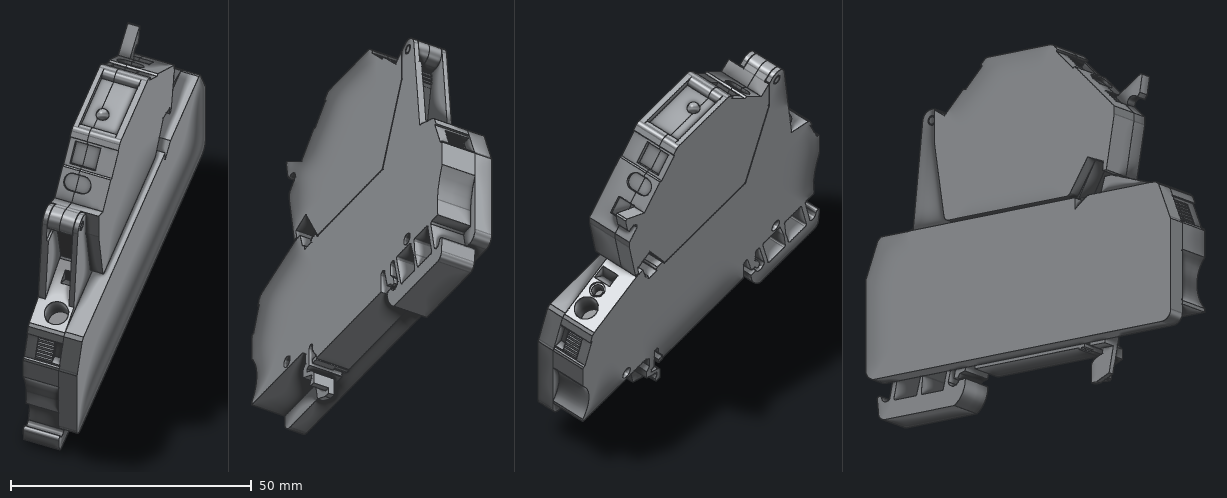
import cadquery as cq
import math

HALF_LENGTH = 39.5
BASE_WIDTH = 7.9
TOTAL_WIDTH = 11.9
PLUG_WIDTH = 10.7
PLUG_SPLIT_X = 3.8
PLUG_TOP_Z = 72.9
HANDLE_THICKNESS = 2.6
FOOT_STEP_X = 3.55
FOOT_WIDTH = 4.9
ARM_THICKNESS = 1.1

CORNER_Z = 29.65
SHELF_Y, SHELF_Z = 39.3, 30.1
SHOULDER_Y, SHOULDER_Z = 36.4, 37.6
ROOF_Y, ROOF_Z = 35.7, 38.2
ROOF_END_Y, ROOF_END_Z = 21.35, 43.0
COVER_TOP_Y, COVER_TOP_Z = 35.5, 38.25
COVER_BOTTOM_Z = 7.75
COVER_CORNER_R = 2.3
UNDERSIDE_Z = 12.0
KEEL_Z = 7.0
FOOT_FLOOR_Z = 3.8
FOOT_WINDOW_R = 0.4
SEAT_Z = 38.25

WELL_X, WELL_Y, WELL_R, WELL_DEPTH = 4.8, 32.3, 2.5, 6.9
TEST_X, TEST_Y, TEST_R, TEST_DEPTH = 5.4, 28.0, 1.3, 3.4
TEST_RIM_R, TEST_RIM_DEPTH = 1.65, 0.4
LIP_X0, LIP_X1, LIP_Y, LIP_RUN, LIP_DROP = 3.55, 7.5, 26.2, 2.85, 2.4

LABEL_TOP_Z = 36.0
LABEL_DEPTH = 0.51
MARKER_X0, MARKER_Z0, MARKER_Z1, MARKER_DEPTH = 2.4, 30.4, 35.25, 2.4
MARKER_RIB_X1, MARKER_RIB_DEPTH, MARKER_RIB_COUNT = 6.0, 1.8, 6

RIVET_Y, RIVET_Z, RIVET_R = 24.9, 13.9, 1.3

HINGE_Y, HINGE_Z, HINGE_R = -25.3, 62.6, 2.45
LINER_THICKNESS, LINER_TOP_Z = 0.5, 58.1
WEB_TOP_Z, WEB_RIB_Z = 60.1, 57.2
WEB_THICKNESS, WEB_RIB_DEPTH, WEB_RIB_COUNT = 0.4, 0.3, 3
PIN_R, PIN_HOLE_R = 0.8, 1.0
PLUG_GAP = 0.2
KNUCKLE_GAP = 0.1
ARM_ROOT_Y = -30.2

PLUG_NOSE_Y, PLUG_NOSE_Z = -22.6, 63.8
PLUG_KNEE_Z = 56.5
PLUG_BOTTOM_Z = 38.4
PLUG_FOOT_Y = -14.6
ARM_INNER_Y = PLUG_NOSE_Y - PLUG_GAP
OVERHANG_Z = 39.4
OVERHANG_R = 1.2
OVERHANG_FOOT_Y = -20.0
TRAY_X0, TRAY_X1, TRAY_Z, TRAY_HALF = 1.1, 9.3, 71.5, 6.4
CROWN_R = 1.4
PLUG_MID_Y = -0.7
UPPER_SLOPE = 80.8
LOWER_SLOPE = 81.5

RECESS_X1 = 6.9
WINDOW_X0, WINDOW_NEAR, WINDOW_FAR, WINDOW_DEPTH = 1.3, 10.0, 13.5, 1.2
SLOT_X0, SLOT_NEAR, SLOT_FAR, SLOT_DEPTH, SLOT_END_R = 1.0, 15.1, 17.7, 0.7, 1.7
NOTCH_NEAR, NOTCH_FAR, NOTCH_DEPTH = 19.6, 22.4, 0.7

LAMP_X, LAMP_Y, LAMP_R = 4.5, -3.1, 1.35
LAMP_BOTTOM_Z, LAMP_RIM_Z = 68.0, 71.5

CUT_MARGIN = 0.8
ROOF_ANGLE = math.atan2(ROOF_END_Z - ROOF_Z, ROOF_Y - ROOF_END_Y)


def slab(outline, x0, x1):
    """Extrude a closed (Y, Z) outline sketched on the YZ plane from x0 to x1."""
    return outline.close().extrude(x1 - x0).translate((x0, 0, 0))


def polygon(points, x0, x1):
    return slab(cq.Workplane("YZ").polyline(points), x0, x1)


def box(x0, x1, y0, y1, z0, z1):
    return polygon([(y0, z0), (y1, z0), (y1, z1), (y0, z1)], x0, x1)


def rod(y, z, radius, x0, x1):
    return cq.Workplane("YZ").center(y, z).circle(radius).extrude(x1 - x0).translate((x0, 0, 0))


def mirrored_points(points, side):
    return [(side * y, z) for y, z in points]


def roof_z(y):
    """Height of the shallow roof slope at a distance y from the middle."""
    return ROOF_Z + (ROOF_Y - abs(y)) * math.tan(ROOF_ANGLE)


def slope_y(z):
    """Distance of the steep end slope from the middle at height z."""
    fall = (z - SHELF_Z) / (SHOULDER_Z - SHELF_Z)
    return SHELF_Y - (SHELF_Y - SHOULDER_Y) * fall


def base_blank():
    outline = (
        cq.Workplane("YZ")
        .moveTo(-HALF_LENGTH, CORNER_Z)
        .lineTo(-SHELF_Y, SHELF_Z)
        .lineTo(-SHOULDER_Y, SHOULDER_Z)
        .lineTo(-ROOF_Y, ROOF_Z)
        .lineTo(-ROOF_END_Y, ROOF_END_Z)
        .lineTo(-17.2, ROOF_END_Z)
        .lineTo(PLUG_FOOT_Y - PLUG_GAP, SEAT_Z)
        .lineTo(12.3, SEAT_Z)
        .lineTo(13.0, 39.3)
        .lineTo(14.6, 39.3)
        .lineTo(15.0, 38.9)
        .lineTo(14.8, SEAT_Z)
        .lineTo(17.55, SEAT_Z)
        .lineTo(17.7, 39.3)
        .lineTo(18.5, 39.8)
        .lineTo(19.45, ROOF_END_Z)
        .lineTo(ROOF_END_Y, ROOF_END_Z)
        .lineTo(ROOF_Y, ROOF_Z)
        .lineTo(SHOULDER_Y, SHOULDER_Z)
        .lineTo(SHELF_Y, SHELF_Z)
        .lineTo(HALF_LENGTH, CORNER_Z)
        .lineTo(HALF_LENGTH, 23.9)
        .threePointArc((37.5, 18.35), (HALF_LENGTH, 12.8))
        .lineTo(HALF_LENGTH, UNDERSIDE_Z)
        .lineTo(21.3, UNDERSIDE_Z)
        .threePointArc((20.6, 11.7), (20.2, 11.1))
        .lineTo(18.35, 1.4)
        .lineTo(15.1, 0)
        .lineTo(13.75, 0)
        .lineTo(13.75, 4.1)
        .lineTo(14.5, 5.0)
        .lineTo(16.6, 5.9)
        .lineTo(16.6, 6.65)
        .lineTo(15.65, 7.1)
        .lineTo(15.65, 11.4)
        .threePointArc((15.0, UNDERSIDE_Z), (14.3, 11.4))
        .lineTo(14.3, 10.0)
        .lineTo(13.0, 8.1)
        .lineTo(13.0, COVER_BOTTOM_Z)
        .lineTo(14.2, COVER_BOTTOM_Z)
        .lineTo(14.2, 6.7)
        .lineTo(12.7, 6.7)
        .lineTo(12.7, KEEL_Z)
        .lineTo(-14.15, KEEL_Z)
        .lineTo(-14.15, 11.4)
        .threePointArc((-14.8, UNDERSIDE_Z), (-15.6, 11.55))
        .lineTo(-16.75, 7.0)
        .lineTo(-18.0, 6.7)
        .lineTo(-18.65, 5.85)
        .lineTo(-19.6, 5.85)
        .lineTo(-19.3, 7.5)
        .lineTo(-18.1, 8.85)
        .lineTo(-18.1, 11.4)
        .threePointArc((-18.8, UNDERSIDE_Z), (-19.6, 11.4))
        .lineTo(-21.1, 5.4)
        .threePointArc((-19.85, 4.3), (-18.35, 5.4))
        .lineTo(-16.7, 5.4)
        .threePointArc((-17.5, 2.2), (-19.5, 0))
        .lineTo(-37.7, 0)
        .threePointArc((-38.7, 0.5), (-39.2, 1.7))
        .lineTo(-HALF_LENGTH, 4.75)
        .threePointArc((-38.9, 5.3), (-38.3, 4.75))
        .threePointArc((-37.2, FOOT_FLOOR_Z), (-36.3, 4.35))
        .lineTo(-34.8, 11.55)
        .lineTo(-35.1, UNDERSIDE_Z)
        .lineTo(-37.7, UNDERSIDE_Z)
        .lineTo(-37.55, 16.1)
        .threePointArc((-38.2, 20.0), (-HALF_LENGTH, 23.9))
    )
    return slab(outline, 0, BASE_WIDTH)


def foot_windows():
    """Two leaning windows between the ribs of the fixed foot."""
    rear = [
        (-20.5, UNDERSIDE_Z), (-26.3, UNDERSIDE_Z), (-27.7, 7.9),
        (-28.15, FOOT_FLOOR_Z), (-22.45, FOOT_FLOOR_Z),
    ]
    front = [
        (-27.8, UNDERSIDE_Z), (-33.4, UNDERSIDE_Z), (-35.25, FOOT_FLOOR_Z),
        (-29.3, FOOT_FLOOR_Z), (-28.2, 7.9),
    ]
    return [polygon(points, 0, BASE_WIDTH).edges("|X").fillet(FOOT_WINDOW_R) for points in (rear, front)]


def foot_relief():
    """Thins the latch foot: removes its outer side up to FOOT_STEP_X."""
    points = [
        (22.1, UNDERSIDE_Z), (18.35, UNDERSIDE_Z), (17.2, 11.0), (17.2, 8.5), (18.2, 7.6),
        (18.2, 5.45), (14.8, 4.0), (14.8, 3.25), (15.3, 2.3), (15.3, 1.65), (14.95, 1.35),
        (13.4, 1.35), (13.4, -0.8), (22.1, -0.8),
    ]
    return polygon(points, 0, FOOT_STEP_X)


def foot_trim():
    """Ends the hook of the latch foot short of the cover."""
    return box(FOOT_WIDTH, BASE_WIDTH, 13.4, 22.1, 0, KEEL_Z)


def label_step(side):
    points = [
        (slope_y(SHELF_Z) - LABEL_DEPTH, SHELF_Z),
        (slope_y(LABEL_TOP_Z) - LABEL_DEPTH, LABEL_TOP_Z),
        (HALF_LENGTH, LABEL_TOP_Z),
        (HALF_LENGTH, SHELF_Z),
    ]
    return polygon(mirrored_points(points, side), 0, BASE_WIDTH)


def sloped_block(z0, z1, depth0, depth1, x0, x1, side):
    """A block that follows the steep end slope between two depths and two heights."""
    points = [
        (slope_y(z0) - depth0, z0),
        (slope_y(z1) - depth0, z1),
        (slope_y(z1) - depth1, z1),
        (slope_y(z0) - depth1, z0),
    ]
    return polygon(mirrored_points(points, side), x0, x1)


def marker_pocket(side):
    pocket = sloped_block(MARKER_Z0, MARKER_Z1, 0, MARKER_DEPTH, MARKER_X0, BASE_WIDTH, side)
    pitch = (MARKER_Z1 - MARKER_Z0) / MARKER_RIB_COUNT
    for i in range(MARKER_RIB_COUNT):
        z = MARKER_Z0 + i * pitch
        rib = sloped_block(
            z, z + pitch / 2, MARKER_DEPTH - MARKER_RIB_DEPTH, MARKER_DEPTH,
            MARKER_X0, MARKER_RIB_X1, side,
        )
        pocket = pocket.cut(rib)
    return pocket


def roof_bore(x, y, radius, depth):
    """A bore perpendicular to the roof slope, starting just above it."""
    side = math.copysign(1, y)
    across = side * math.sin(ROOF_ANGLE)
    up = math.cos(ROOF_ANGLE)
    top = cq.Vector(x, y + across * CUT_MARGIN, roof_z(y) + up * CUT_MARGIN)
    bore = cq.Solid.makeCylinder(radius, depth + CUT_MARGIN, top, cq.Vector(0, -across, -up))
    return cq.Workplane(obj=bore)


def roof_lip(side):
    """A wedge pocket whose floor falls toward the middle."""
    inner = LIP_Y - LIP_RUN
    points = [
        (LIP_Y, roof_z(LIP_Y)),
        (inner, roof_z(LIP_Y) - LIP_DROP),
        (inner, roof_z(inner) + CUT_MARGIN),
        (LIP_Y, roof_z(LIP_Y) + CUT_MARGIN),
    ]
    return polygon(mirrored_points(points, side), LIP_X0, LIP_X1)


def arm_plate(x0, x1):
    """A plate rising from the roof beside the plug, rounded about the hinge axis."""
    outline = (
        cq.Workplane("YZ")
        .moveTo(PLUG_FOOT_Y - PLUG_GAP, SEAT_Z)
        .lineTo(ARM_INNER_Y, PLUG_KNEE_Z)
        .lineTo(ARM_INNER_Y, HINGE_Z + 1.3)
        .lineTo(HINGE_Y + 1.4, HINGE_Z + 2.0)
        .threePointArc((HINGE_Y, HINGE_Z + HINGE_R), (HINGE_Y - HINGE_R, HINGE_Z + 0.3))
        .lineTo(ARM_ROOT_Y, roof_z(ARM_ROOT_Y))
        .lineTo(ARM_ROOT_Y, SEAT_Z)
    )
    return slab(outline, x0, x1)


def hinge_arms():
    """Two bored arms; the left one is thickened below the knuckle."""
    right_x = BASE_WIDTH - ARM_THICKNESS
    arms = arm_plate(0, ARM_THICKNESS).union(arm_plate(right_x, BASE_WIDTH))
    arms = arms.cut(rod(HINGE_Y, HINGE_Z, PIN_HOLE_R, 0, BASE_WIDTH))
    liner_x1 = ARM_THICKNESS + LINER_THICKNESS
    liner = arm_plate(ARM_THICKNESS, liner_x1).intersect(
        box(ARM_THICKNESS, liner_x1, -HALF_LENGTH, 0, 0, LINER_TOP_Z)
    )
    return arms.union(liner)


def arm_web():
    """The wall that joins the two arms in front of the plug, ribbed below the knuckle."""
    x0 = ARM_THICKNESS
    x1 = BASE_WIDTH - ARM_THICKNESS
    front_y = ARM_INNER_Y - WEB_THICKNESS
    web = polygon(
        [
            (PLUG_FOOT_Y - PLUG_GAP, SEAT_Z), (ARM_INNER_Y, PLUG_KNEE_Z), (ARM_INNER_Y, WEB_TOP_Z),
            (front_y, WEB_TOP_Z), (front_y, WEB_RIB_Z), (OVERHANG_FOOT_Y, OVERHANG_Z),
        ],
        x0, x1,
    )
    pitch = (WEB_TOP_Z - WEB_RIB_Z) / WEB_RIB_COUNT
    for i in range(WEB_RIB_COUNT):
        z = WEB_RIB_Z + i * pitch
        web = web.union(box(x0, x1, front_y - WEB_RIB_DEPTH, ARM_INNER_Y, z, z + pitch / 2))
    return web


def make_base():
    base = base_blank()
    for window in foot_windows():
        base = base.cut(window)
    base = base.cut(foot_relief()).cut(foot_trim())
    for side in (-1, 1):
        base = base.cut(label_step(side))
        base = base.cut(marker_pocket(side))
        base = base.cut(roof_bore(WELL_X, side * WELL_Y, WELL_R, WELL_DEPTH))
        base = base.cut(roof_lip(side))
        base = base.cut(rod(side * RIVET_Y, RIVET_Z, RIVET_R, 0, BASE_WIDTH))
    base = base.cut(roof_bore(TEST_X, TEST_Y, TEST_R, TEST_DEPTH))
    base = base.cut(roof_bore(TEST_X, TEST_Y, TEST_RIM_R, TEST_RIM_DEPTH))
    return base.union(hinge_arms()).union(arm_web())


def make_cover():
    """A flat plate with the same sloped ends as the base and a notch in its top edge."""
    points = [
        (-HALF_LENGTH, CORNER_Z), (-SHELF_Y, SHELF_Z), (-SHOULDER_Y, SHOULDER_Z),
        (-COVER_TOP_Y, COVER_TOP_Z),
        (14.7, COVER_TOP_Z), (14.7, 35.8), (18.0, COVER_TOP_Z),
        (COVER_TOP_Y, COVER_TOP_Z), (SHOULDER_Y, SHOULDER_Z),
        (SHELF_Y, SHELF_Z), (HALF_LENGTH, CORNER_Z),
        (HALF_LENGTH, COVER_BOTTOM_Z), (-HALF_LENGTH, COVER_BOTTOM_Z),
    ]
    plate = polygon(points, BASE_WIDTH, TOTAL_WIDTH)
    return plate.edges("|X and <Z").fillet(COVER_CORNER_R)


def plug_section(foot_y, bottom_z, x0, x1):
    """The plug body from x0 to x1, with its bottom face at bottom_z ending at foot_y."""
    rear_crown = [
        (LOWER_SLOPE - PLUG_TOP_Z, PLUG_TOP_Z), (LOWER_SLOPE - 71.55, 71.55), (UPPER_SLOPE - 71.15, 71.15),
        (UPPER_SLOPE - 66.9, 66.9), (LOWER_SLOPE - 67.0, 67.0),
    ]
    rear = [(PLUG_MID_Y + s, z) for s, z in rear_crown]
    front = [(PLUG_MID_Y - s, z) for s, z in reversed(rear_crown)]
    points = rear + [
        (23.95, LOWER_SLOPE + PLUG_MID_Y - 23.95), (23.95, 55.1), (21.9, 43.4), (20.95, 43.4),
        (21.1, 45.4), (17.1, 46.95), (12.2, bottom_z), (foot_y, bottom_z),
        (PLUG_NOSE_Y, PLUG_KNEE_Z), (PLUG_NOSE_Y, PLUG_NOSE_Z), (-20.1, 62.1),
    ] + front
    return polygon(points, x0, x1).edges("|X and >Z").fillet(CROWN_R)


def plug_body():
    """The full plug section within the base's thickness, and a shallower one beyond it."""
    body = plug_section(PLUG_FOOT_Y, PLUG_BOTTOM_Z, 0, BASE_WIDTH)
    overhang = plug_section(OVERHANG_FOOT_Y, OVERHANG_Z, BASE_WIDTH, PLUG_WIDTH)
    return body.union(overhang.edges("|X and <Z").fillet(OVERHANG_R))


def handle():
    outline = (
        cq.Workplane("YZ")
        .moveTo(17.4, 60.9)
        .lineTo(19.0, 61.8)
        .lineTo(24.8, 65.5)
        .lineTo(25.2, 65.3)
        .lineTo(24.6, 61.5)
        .lineTo(23.95, 60.55)
        .threePointArc((22.2, 60.95), (21.4, 59.4))
    )
    return slab(outline, 0, HANDLE_THICKNESS)


def knuckle():
    """The hinge barrel between the arms, with a pivot pin on each side."""
    x0 = ARM_THICKNESS + KNUCKLE_GAP
    x1 = BASE_WIDTH - x0
    web_points = [
        (PLUG_NOSE_Y, PLUG_NOSE_Z), (HINGE_Y + 1.4, HINGE_Z + 2.0), (HINGE_Y, HINGE_Z),
        (HINGE_Y, HINGE_Z - HINGE_R), (PLUG_NOSE_Y, HINGE_Z - HINGE_R),
    ]
    barrel = rod(HINGE_Y, HINGE_Z, HINGE_R, x0, x1)
    pin = rod(HINGE_Y, HINGE_Z, PIN_R, 0, BASE_WIDTH)
    return barrel.union(polygon(web_points, x0, x1)).union(pin)


def crown_tray():
    """The tray in the plug's crown; its two ends roll over into the crown."""
    end = TRAY_HALF + CROWN_R
    depth = PLUG_TOP_Z - TRAY_Z
    bend = CROWN_R * math.sqrt(0.5)
    outline = (
        cq.Workplane("YZ")
        .moveTo(-end, PLUG_TOP_Z)
        .threePointArc((-end + bend, PLUG_TOP_Z - depth + bend), (-TRAY_HALF, TRAY_Z))
        .lineTo(TRAY_HALF, TRAY_Z)
        .threePointArc((end - bend, PLUG_TOP_Z - depth + bend), (end, PLUG_TOP_Z))
    )
    return slab(outline, TRAY_X0, TRAY_X1).translate((0, PLUG_MID_Y, 0))


def slope_recess(side, near, far, x0, depth, slope, end_radius=0):
    """A recess in a 45 degree slope between two distances from the plug's middle."""
    length = (far - near) * math.sqrt(2)
    middle = (near + far) / 2
    cutter = cq.Workplane("XY").box(RECESS_X1 - x0, length, 2 * depth)
    if end_radius:
        cutter = cutter.edges("|Z").fillet(end_radius)
    return cutter.rotate((0, 0, 0), (1, 0, 0), -45 * side).translate(
        ((x0 + RECESS_X1) / 2, PLUG_MID_Y + side * middle, slope - middle)
    )


def lamp_bore():
    return cq.Workplane("XY", origin=(LAMP_X, LAMP_Y, LAMP_BOTTOM_Z)).circle(LAMP_R).extrude(
        PLUG_TOP_Z - LAMP_BOTTOM_Z
    )


def whole_plug():
    plug = plug_body().union(handle()).union(knuckle())
    plug = plug.cut(crown_tray()).cut(lamp_bore())
    for side in (-1, 1):
        plug = plug.cut(slope_recess(side, WINDOW_NEAR, WINDOW_FAR, WINDOW_X0, WINDOW_DEPTH, UPPER_SLOPE))
        slot = slope_recess(side, SLOT_NEAR, SLOT_FAR, SLOT_X0, SLOT_DEPTH, LOWER_SLOPE, SLOT_END_R)
        plug = plug.cut(slot)
    return plug.cut(slope_recess(1, NOTCH_NEAR, NOTCH_FAR, HANDLE_THICKNESS, NOTCH_DEPTH, LOWER_SLOPE))


def plug_half(plug, x0, x1):
    """The part of the plug on one side of its parting plane."""
    return plug.intersect(box(x0, x1, -HALF_LENGTH, HALF_LENGTH, 0, PLUG_TOP_Z))


def make_lamp():
    dome_top = LAMP_RIM_Z + LAMP_R
    half_section = (
        cq.Workplane("XZ")
        .moveTo(0, LAMP_BOTTOM_Z)
        .lineTo(LAMP_R, LAMP_BOTTOM_Z)
        .lineTo(LAMP_R, LAMP_RIM_Z)
        .threePointArc((LAMP_R * math.sqrt(0.5), LAMP_RIM_Z + LAMP_R * math.sqrt(0.5)), (0, dome_top))
        .close()
    )
    lamp = half_section.revolve(360, (0, 0, 0), (0, 1, 0))
    return lamp.translate((LAMP_X, LAMP_Y, 0))


base = make_base()
cover = make_cover()
plug = whole_plug()
plug_left = plug_half(plug, 0, PLUG_SPLIT_X)
plug_right = plug_half(plug, PLUG_SPLIT_X, PLUG_WIDTH)
lamp = make_lamp()

result = cq.Compound.makeCompound(
    [
        *base.solids().vals(),
        *cover.solids().vals(),
        *plug_left.solids().vals(),
        *plug_right.solids().vals(),
        *lamp.solids().vals(),
    ]
)